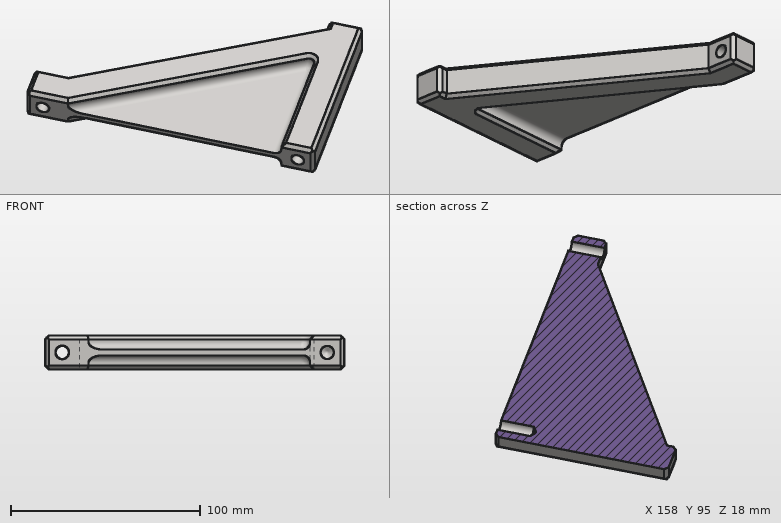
import cadquery as cq
import math

LENGTH = 158.0
HEIGHT = 95.0
BAR = 18.0
WEB = 3.0
SLOPE = math.radians(30.4)
CHAMFER = 2.0
CORNER_RADIUS = 3.0
FLOOR_FILLET = 4.0
HOLE_DIAMETER = 7.0
BLIND_DEPTH = BAR
DRILL_ANGLE = math.radians(118)
OVERRUN = 15.8

half_bar = BAR / 2
half_web = WEB / 2
column_x = LENGTH - BAR
diagonal_end_y = BAR + (column_x - BAR) * math.tan(SLOPE)
diagonal_run = BAR / math.sin(SLOPE)
pocket_left_x = BAR - BAR / math.tan(SLOPE) + diagonal_run


def plate():
    """Outer outline at full thickness, before any edge treatment."""
    outline = [
        (0, 0),
        (LENGTH, 0),
        (LENGTH, HEIGHT),
        (column_x, HEIGHT),
        (column_x, diagonal_end_y),
        (BAR, BAR),
        (0, BAR),
    ]
    return cq.Workplane("XY").workplane(offset=-half_bar).polyline(outline).close().extrude(BAR)


def pocket():
    """Cutter for the upper pocket, open towards -Y and filleted around its floor."""
    outline = [
        (pocket_left_x - OVERRUN / math.tan(SLOPE), -OVERRUN),
        (column_x, -OVERRUN),
        (column_x, (column_x - pocket_left_x) * math.tan(SLOPE)),
    ]
    cutter = cq.Workplane("XY").workplane(offset=half_web).polyline(outline).close().extrude(BAR)
    closed_corner = cq.selectors.NearestToPointSelector((*outline[2], half_web + half_bar))
    cutter = cutter.edges("|Z").edges(closed_corner).fillet(CORNER_RADIUS)
    return cutter.faces("<Z").edges("not <Y").fillet(FLOOR_FILLET)


def chamfer_edges(body):
    """Chamfer both face outlines and the pocket rims, then the convex outer corners.

    Done in this order, the three chamfers at each corner meet in a single point.
    """
    body = body.faces("<Z or >Z").edges().chamfer(CHAMFER)
    outer_corners = [
        (0, 0, 1, 1),
        (LENGTH, 0, -1, 1),
        (LENGTH, HEIGHT, -1, -1),
        (column_x, HEIGHT, 1, -1),
        (0, BAR, 1, -1),
    ]
    for x, y, side_x, side_y in outer_corners:
        triangle = [(x, y), (x + side_x * CHAMFER, y), (x, y + side_y * CHAMFER)]
        corner = cq.Workplane("XY").polyline(triangle).close().extrude(half_bar, both=True)
        body = body.cut(corner)
    return body


def drill(x, depth):
    """Drill with a conical tip, entering the front face in the +Y direction."""
    radius = HOLE_DIAMETER / 2
    tip = radius / math.tan(DRILL_ANGLE / 2)
    profile = [(x, 0), (x + radius, 0), (x + radius, depth), (x, depth + tip)]
    return cq.Workplane("XY").polyline(profile).close().revolve(360, (x, 0), (x, 1))


upper_pocket = pocket()
body = plate().cut(upper_pocket).cut(upper_pocket.mirror("XY"))
body = chamfer_edges(body)
body = body.cut(drill(half_bar, BAR))
result = body.cut(drill(LENGTH - half_bar, BLIND_DEPTH))